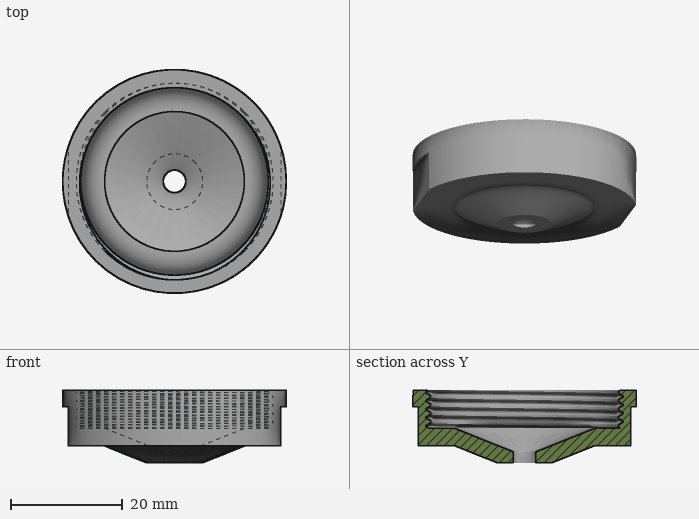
import cadquery as cq
import math

outer_diameter = 40.0
body_height = 10.0
floor_thickness = 3.2

drain_diameter = 4.0
funnel_rim_diameter = 25.0
spout_tip_diameter = 10.0
spout_height = 3.0
spout_slope = 2 * spout_height / (funnel_rim_diameter - spout_tip_diameter)
funnel_depth = spout_slope * (funnel_rim_diameter - drain_diameter) / 2

flat_distance = 38.0
flat_height = 7.0

thread_minor_diameter = 33.53
thread_major_diameter = 35.21
thread_pitch = 1.5
thread_root_width = 0.1
thread_flank_angle = 60.0
thread_start_angle = -80.0
thread_turns_below_rim = 6
thread_turns_above_rim = 1
thread_overlap = 0.1


def make_body():
    """Round cup blank with the truncated cone below it."""
    cup = cq.Workplane("XY").circle(outer_diameter / 2).extrude(body_height)
    spout = (
        cq.Workplane("XZ")
        .moveTo(0, 0)
        .lineTo(funnel_rim_diameter / 2, 0)
        .lineTo(spout_tip_diameter / 2, -spout_height)
        .lineTo(0, -spout_height)
        .close()
        .revolve(360, (0, 0, 0), (0, 1, 0))
    )
    return cup.union(spout)


def make_cavity():
    """Threaded bore, funnel and drain hole as one revolved void."""
    bore_radius = thread_minor_diameter / 2
    drain_radius = drain_diameter / 2
    return (
        cq.Workplane("XZ")
        .moveTo(0, body_height)
        .lineTo(bore_radius, body_height)
        .lineTo(bore_radius, floor_thickness)
        .lineTo(funnel_rim_diameter / 2, floor_thickness)
        .lineTo(drain_radius, floor_thickness - funnel_depth)
        .lineTo(drain_radius, -spout_height)
        .lineTo(0, -spout_height)
        .close()
        .revolve(360, (0, 0, 0), (0, 1, 0))
    )


def make_flat_cutter(side):
    """Block that removes the material outside one flat; side is -1 or +1."""
    depth = (outer_diameter - flat_distance) / 2
    centre_x = side * (flat_distance + depth) / 2
    return (
        cq.Workplane("XY")
        .center(centre_x, 0)
        .rect(depth, outer_diameter)
        .extrude(flat_height)
    )


def make_thread_groove():
    """Helical V groove, trimmed to the height of the bore."""
    minor_radius = thread_minor_diameter / 2
    major_radius = thread_major_diameter / 2
    inner_radius = minor_radius - thread_overlap
    half_root = thread_root_width / 2
    flank_slope = math.tan(math.radians(thread_flank_angle / 2))
    half_inner = half_root + (major_radius - inner_radius) * flank_slope

    turns = thread_turns_below_rim + thread_turns_above_rim
    helix = cq.Wire.makeHelix(thread_pitch, turns * thread_pitch, minor_radius)
    groove = (
        cq.Workplane("XZ")
        .moveTo(inner_radius, -half_inner)
        .lineTo(major_radius, -half_root)
        .lineTo(major_radius, half_root)
        .lineTo(inner_radius, half_inner)
        .close()
        .sweep(cq.Workplane(obj=helix), isFrenet=True)
        .rotate((0, 0, 0), (0, 0, 1), thread_start_angle)
        .translate((0, 0, body_height - thread_turns_below_rim * thread_pitch))
    )
    bore_envelope = (
        cq.Workplane("XY", origin=(0, 0, floor_thickness))
        .circle(outer_diameter / 2)
        .extrude(body_height - floor_thickness)
    )
    return groove.intersect(bore_envelope)


part = make_body().cut(make_cavity())
for side in (-1, 1):
    part = part.cut(make_flat_cutter(side))
result = part.cut(make_thread_groove())